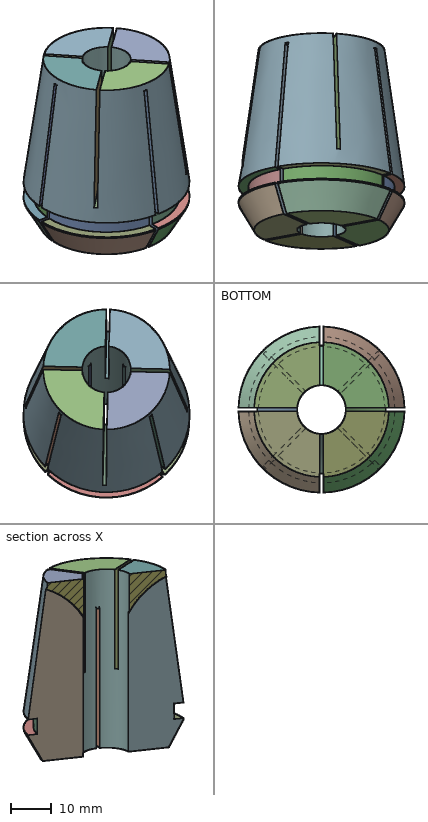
import cadquery as cq
import math

height = 46.0
outer_radius = 20.495
nose_radius = 16.6
top_radius = 15.6
groove_radius = 18.05
bore_radius = 6.0
rim_bottom_z = 6.75
rim_top_z = 7.15
taper_bottom_z = 11.15

slot_width = 0.87
blade_radius = 20.0
slots_per_end = 4
slot_pitch = 360.0 / slots_per_end
lower_slot_outer_z = 44.2
lower_slot_bore_z = 35.95
upper_slot_outer_z = 15.05
upper_slot_bore_z = 20.5
clearance = 2.3


def taper_radius(z):
    """Radius of the upper cone at height z."""
    fraction = (z - taper_bottom_z) / (height - taper_bottom_z)
    return outer_radius + fraction * (top_radius - outer_radius)


def make_body():
    profile = [
        (bore_radius, 0),
        (nose_radius, 0),
        (outer_radius, rim_bottom_z),
        (outer_radius, rim_top_z),
        (groove_radius, rim_top_z),
        (groove_radius, taper_bottom_z),
        (outer_radius, taper_bottom_z),
        (top_radius, height),
        (bore_radius, height),
    ]
    return cq.Workplane("XZ").polyline(profile).close().revolve(360, (0, 0), (0, 1))


def slot_cutter(open_z, bore_z, outer_z, angle):
    """Radial slot from beyond the end at open_z to an arc between bore and taper."""
    end_radius = taper_radius(outer_z)
    run = end_radius - bore_radius
    rise = outer_z - bore_z
    chord = math.hypot(run, rise)
    bulge = blade_radius - math.sqrt(blade_radius**2 - (chord / 2) ** 2)
    side = math.copysign(1, rise)
    arc_middle = (
        (bore_radius + end_radius) / 2 - side * bulge * rise / chord,
        (bore_z + outer_z) / 2 + side * bulge * run / chord,
    )
    reach = outer_radius + clearance
    return (
        cq.Workplane("XZ")
        .moveTo(0, open_z)
        .lineTo(0, bore_z)
        .lineTo(bore_radius, bore_z)
        .threePointArc(arc_middle, (end_radius, outer_z))
        .lineTo(reach, outer_z)
        .lineTo(reach, open_z)
        .close()
        .extrude(slot_width / 2, both=True)
        .rotate((0, 0, 0), (0, 0, 1), angle)
    )


result = make_body()
for index in range(slots_per_end):
    lower_angle = index * slot_pitch
    upper_angle = lower_angle + slot_pitch / 2
    result = result.cut(slot_cutter(-clearance, lower_slot_bore_z, lower_slot_outer_z, lower_angle))
    result = result.cut(slot_cutter(height + clearance, upper_slot_bore_z, upper_slot_outer_z, upper_angle))